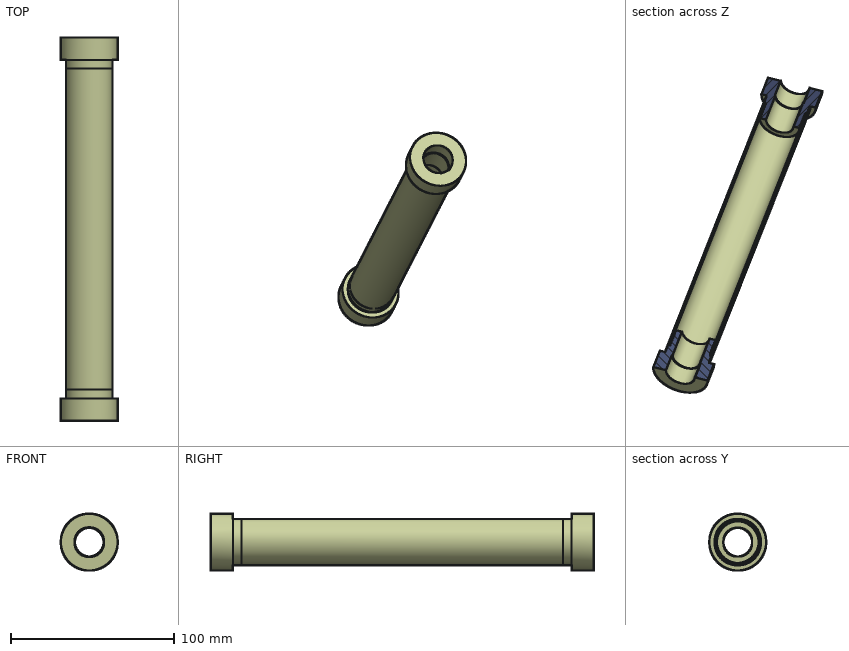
import cadquery as cq

overall_length = 234.95
head_diameter = 35.05
head_length = 13.72
tube_outer_diameter = 28.57
tube_inner_diameter = 25.65
collar_diameter = 27.56
collar_length = 5.33
spigot_diameter = 25.53
spigot_length = 12.7
mouth_bore_diameter = 18.3
mouth_bore_depth = 12.2
through_bore_diameter = 17.5

tube_length = overall_length - 2 * head_length
plug_length = head_length + collar_length + spigot_length


def cylinder_along_y(diameter, start, length):
    """Solid cylinder centred on the Y axis, running from start towards +Y."""
    return (
        cq.Workplane("XZ", origin=(0, start, 0))
        .circle(diameter / 2)
        .extrude(-length)
    )


def make_tube():
    """Tube between the two plug heads, counterbored at both ends for the plug collars."""
    start = -tube_length / 2
    tube = cylinder_along_y(tube_outer_diameter, start, tube_length)
    tube = tube.cut(cylinder_along_y(tube_inner_diameter, start, tube_length))
    for counterbore_start in (start, -start - collar_length):
        tube = tube.cut(cylinder_along_y(collar_diameter, counterbore_start, collar_length))
    return tube


def make_end_plug():
    """Plug at the -Y end: head, collar and spigot with a stepped bore, widest at the outer face."""
    head_start = -overall_length / 2
    collar_start = head_start + head_length
    spigot_start = collar_start + collar_length
    plug = cylinder_along_y(head_diameter, head_start, head_length)
    plug = plug.union(cylinder_along_y(collar_diameter, collar_start, collar_length))
    plug = plug.union(cylinder_along_y(spigot_diameter, spigot_start, spigot_length))
    plug = plug.cut(cylinder_along_y(through_bore_diameter, head_start, plug_length))
    return plug.cut(cylinder_along_y(mouth_bore_diameter, head_start, mouth_bore_depth))


tube = make_tube()
end_plugs = [
    make_end_plug().rotate((0, 0, 0), (0, 0, 1), angle)
    for angle in (0, 180)
]

result = cq.Compound.makeCompound([tube.val(), *[plug.val() for plug in end_plugs]])